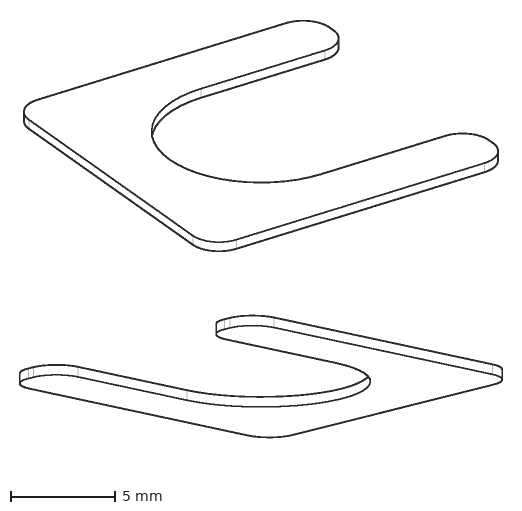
import cadquery as cq

side = 17.27
thickness = 0.5
slot_width = 10.5
corner_radius = 1.5

half_side = side / 2
slot_radius = slot_width / 2

outline = (
    cq.Workplane("XY")
    .moveTo(-half_side, -half_side)
    .lineTo(half_side, -half_side)
    .lineTo(half_side, half_side)
    .lineTo(slot_radius, half_side)
    .lineTo(slot_radius, 0)
    .threePointArc((0, -slot_radius), (-slot_radius, 0))
    .lineTo(-slot_radius, half_side)
    .lineTo(-half_side, half_side)
    .close()
)
plate = outline.extrude(thickness)

base_corners = plate.edges("|Z and <Y")
rounded_base = base_corners.fillet(corner_radius)
result = rounded_base.edges("|Z and >Y").fillet(corner_radius)